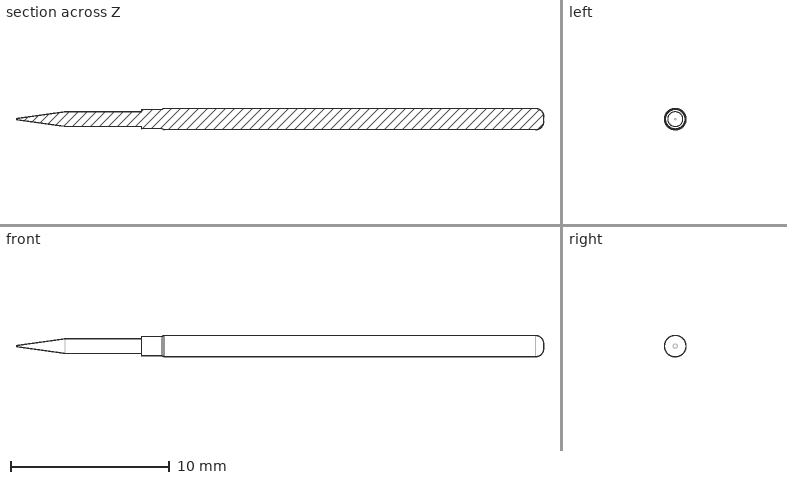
import cadquery as cq
import math

total_length = 33.27
barrel_diameter = 1.37

tip_radius = 0.05
plunger_diameter = 0.94
point_length = 3.05

collar_diameter = 1.22
collar_start = 7.87
collar_length = 1.3

shoulder_length = 0.12

end_round_radius = 0.55

plunger_radius = plunger_diameter / 2
collar_radius = collar_diameter / 2
barrel_radius = barrel_diameter / 2
collar_end = collar_start + collar_length
barrel_start = collar_end + shoulder_length
round_start = total_length - end_round_radius
end_flat_radius = barrel_radius - end_round_radius

tip_to_rim_length = point_length - tip_radius
rim_angle = math.atan2(plunger_radius, tip_to_rim_length)
tangent_angle = math.asin(tip_radius / math.hypot(tip_to_rim_length, plunger_radius))
point_half_angle = rim_angle - tangent_angle
tip_tangent_x = tip_radius * (1 - math.sin(point_half_angle))
tip_tangent_radius = tip_radius * math.cos(point_half_angle)


def make_pin():
    """Revolve the half profile, from tip to closed end, about the X axis."""
    return (
        cq.Workplane("XY")
        .radiusArc((tip_tangent_x, tip_tangent_radius), tip_radius)
        .lineTo(point_length, plunger_radius)
        .lineTo(collar_start, plunger_radius)
        .lineTo(collar_start, collar_radius)
        .lineTo(collar_end, collar_radius)
        .lineTo(barrel_start, barrel_radius)
        .lineTo(round_start, barrel_radius)
        .radiusArc((total_length, end_flat_radius), end_round_radius)
        .lineTo(total_length, 0)
        .close()
        .revolve(360, (0, 0, 0), (1, 0, 0))
    )


result = make_pin()